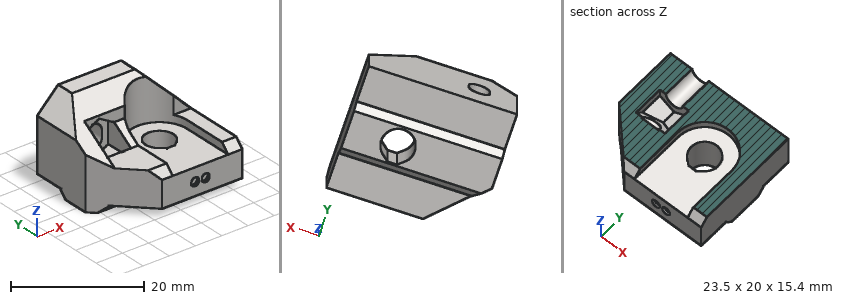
import cadquery as cq
import math

LENGTH = 23.5
WIDTH = 20.0
HEIGHT = 15.4

BASE_Z = 1.4
DECK_Z = 7.9
CREST_WIDTH = 3.4
RAMP_FOOT_Y = 5.1
FRONT_CHAMFER = 1.5
SLOT_FLOOR_Z = 6.4

RAIL_FRONT_Y = 5.75
RAIL_BACK_Y = 14.25
RAIL_LIP = 0.2

CORNER_CUT = 8.2
LEFT_BEVEL = 4.0
RIGHT_BEVEL = 7.5

POCKET_LEFT_X = 3.15
POCKET_BACK_Y = 12.5
SHELF_FOOT_Y = 8.4

BORE_X = 15.5
BORE_Y = 10.0
SLOT_RADIUS = 5.28
BORE_RADIUS = 2.65
BORE_FLAT_DISTANCE = 2.82
TEARDROP_ANGLE = 40.0

NUT_ACROSS_FLATS = 5.68
NUT_X = POCKET_LEFT_X + NUT_ACROSS_FLATS / 2
NUT_Z = 8.35
NUT_STRETCH = 1.1
NUT_TRAP_BACK_Y = 13.95
NUT_TRAP_FRONT_ANGLE = 48.0
SCREW_RADIUS = 1.65

PIN_DIAMETER = 1.5
PIN_DEPTH = 0.5
PIN_SPACING = 2.0
PIN_Z = 3.9

RAMP_SLOPE = (HEIGHT - DECK_Z) / (WIDTH - CREST_WIDTH - RAMP_FOOT_Y)
SHELF_BACK_Z = DECK_Z + RAMP_SLOPE * (POCKET_BACK_Y - SHELF_FOOT_Y)


def extrude_along_x(points, x_start, x_end):
    """Prism from a (y, z) outline."""
    return cq.Workplane("YZ").workplane(offset=x_start).polyline(points).close().extrude(x_end - x_start)


def extrude_along_y(points, y_start, y_end):
    """Prism from an (x, z) outline."""
    return cq.Workplane("XZ").workplane(offset=-y_start).polyline(points).close().extrude(y_start - y_end)


def make_body():
    """Side profile with deck, ramp and underside rail, trimmed at the corners."""
    rail_chamfer = BASE_Z - RAIL_LIP
    profile = [
        (0, BASE_Z),
        (RAIL_FRONT_Y, BASE_Z),
        (RAIL_FRONT_Y, rail_chamfer),
        (RAIL_FRONT_Y + rail_chamfer, 0),
        (RAIL_BACK_Y - rail_chamfer, 0),
        (RAIL_BACK_Y, rail_chamfer),
        (RAIL_BACK_Y, BASE_Z),
        (WIDTH, BASE_Z),
        (WIDTH, HEIGHT),
        (WIDTH - CREST_WIDTH, HEIGHT),
        (RAMP_FOOT_Y, DECK_Z),
        (FRONT_CHAMFER, DECK_Z),
        (0, SLOT_FLOOR_Z),
    ]
    silhouette = [
        (0, 0),
        (LENGTH, 0),
        (LENGTH, HEIGHT - RIGHT_BEVEL),
        (LENGTH - RIGHT_BEVEL, HEIGHT),
        (LEFT_BEVEL, HEIGHT),
        (0, HEIGHT - LEFT_BEVEL),
    ]
    body = extrude_along_x(profile, 0, LENGTH).intersect(extrude_along_y(silhouette, 0, WIDTH))
    corner = cq.Workplane("XY").polyline([(0, 0), (CORNER_CUT, 0), (0, CORNER_CUT)]).close().extrude(HEIGHT)
    return body.cut(corner)


def make_pocket():
    """Space above the deck; left of the bore its floor rises to the back as a shelf."""
    shelf_outline = [
        (0, DECK_Z),
        (SHELF_FOOT_Y, DECK_Z),
        (POCKET_BACK_Y, SHELF_BACK_Z),
        (POCKET_BACK_Y, HEIGHT),
        (0, HEIGHT),
    ]
    level_outline = [
        (0, DECK_Z),
        (POCKET_BACK_Y, DECK_Z),
        (POCKET_BACK_Y, HEIGHT),
        (0, HEIGHT),
    ]
    left = extrude_along_x(shelf_outline, POCKET_LEFT_X, BORE_X)
    right = extrude_along_x(level_outline, BORE_X, LENGTH)
    return left.union(right)


def make_slot():
    """Slot open to the front with a half-round back end."""
    return (
        cq.Workplane("XY")
        .workplane(offset=SLOT_FLOOR_Z)
        .moveTo(BORE_X - SLOT_RADIUS, 0)
        .lineTo(BORE_X - SLOT_RADIUS, BORE_Y)
        .threePointArc((BORE_X, BORE_Y + SLOT_RADIUS), (BORE_X + SLOT_RADIUS, BORE_Y))
        .lineTo(BORE_X + SLOT_RADIUS, 0)
        .close()
        .extrude(HEIGHT - SLOT_FLOOR_Z)
    )


def make_bore():
    """Vertical bore, a teardrop towards the front with its tip cut flat."""
    angle = math.radians(TEARDROP_ANGLE)
    tangent_x = BORE_RADIUS * math.sin(angle)
    tangent_y = BORE_Y - BORE_RADIUS * math.cos(angle)
    tip_distance = BORE_RADIUS / math.cos(angle)
    flat_half = (tip_distance - BORE_FLAT_DISTANCE) / math.tan(angle)
    flat_y = BORE_Y - BORE_FLAT_DISTANCE
    return (
        cq.Workplane("XY")
        .moveTo(BORE_X - flat_half, flat_y)
        .lineTo(BORE_X + flat_half, flat_y)
        .lineTo(BORE_X + tangent_x, tangent_y)
        .threePointArc((BORE_X, BORE_Y + BORE_RADIUS), (BORE_X - tangent_x, tangent_y))
        .close()
        .extrude(HEIGHT)
    )


def make_nut_trap():
    """Stretched hexagonal pocket along Y, ended at the front by an inclined wall."""
    half_flats = NUT_ACROSS_FLATS / 2
    half_corner = math.pi / 6
    side_half = half_flats * math.tan(half_corner) + NUT_STRETCH / 2
    point_half = half_flats / math.cos(half_corner) + NUT_STRETCH / 2
    hexagon = [
        (NUT_X, NUT_Z + point_half),
        (NUT_X + half_flats, NUT_Z + side_half),
        (NUT_X + half_flats, NUT_Z - side_half),
        (NUT_X, NUT_Z - point_half),
        (NUT_X - half_flats, NUT_Z - side_half),
        (NUT_X - half_flats, NUT_Z + side_half),
    ]
    prism = extrude_along_y(hexagon, SHELF_FOOT_Y, NUT_TRAP_BACK_Y)
    front_wall_run = DECK_Z / math.tan(math.radians(NUT_TRAP_FRONT_ANGLE))
    front_wedge = extrude_along_x(
        [(SHELF_FOOT_Y, 0), (SHELF_FOOT_Y, DECK_Z), (SHELF_FOOT_Y + front_wall_run, 0)], 0, LENGTH
    )
    return prism.cut(front_wedge)


def make_screw_hole():
    """Upright slotted hole along Y, from the front of the nut trap out through the back."""
    return (
        cq.Workplane("XZ")
        .workplane(offset=-SHELF_FOOT_Y)
        .center(NUT_X, NUT_Z)
        .slot2D(2 * SCREW_RADIUS + NUT_STRETCH, 2 * SCREW_RADIUS, 90)
        .extrude(SHELF_FOOT_Y - WIDTH)
    )


def make_pin_holes():
    """Pair of shallow holes in the front face, centred on the bore."""
    positions = [(BORE_X + side * PIN_SPACING / 2, PIN_Z) for side in (-1, 1)]
    return cq.Workplane("XZ").pushPoints(positions).circle(PIN_DIAMETER / 2).extrude(-PIN_DEPTH)


result = (
    make_body()
    .cut(make_pocket())
    .cut(make_slot())
    .cut(make_bore())
    .cut(make_nut_trap())
    .cut(make_screw_hole())
    .cut(make_pin_holes())
)